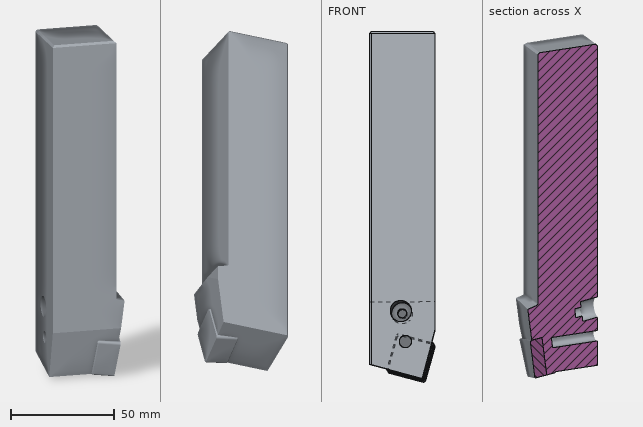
import cadquery as cq
import math

LENGTH = 170.0
SHANK = 32.0
EDGE_CHAMFER = 1.0

HEAD_DEPTH = 37.5
SHOULDER_ROOT_Z = 40.3
SHOULDER_ANGLE = 15.0
SHOULDER_FILLET = 1.0
HEAD_BREAK_Z = 31.6
LEFT_CORNER_Z = 8.7
RIGHT_CORNER_Z = 25.5

LEAD_ANGLE = 15.0
RAKE_ANGLE = 6.0
INSERT_SIDE = 19.0
INSERT_THICKNESS = 6.3
NOSE_RADIUS = 1.2
NOSE_X = 27.0
NOSE_Y = 32.3

SEAT_THICKNESS = 5.1
SEAT_CHAMFER = 0.5

SCREW_X = 15.3
SCREW_Z = 34.5
SCREW_BORE_DIAMETER = 10.2
SCREW_BORE_DEPTH = 8.5
SCREW_TIP_DIAMETER = 4.5
SCREW_TIP_DEPTH = 3.4

ACCESS_X = 17.5
ACCESS_Z = 19.7
ACCESS_DIAMETER = 6.0

LEAD = math.radians(LEAD_ANGLE)
RAKE_TAN = math.tan(math.radians(RAKE_ANGLE))

NOSE_Z = -NOSE_RADIUS * (math.sin(LEAD) + math.cos(LEAD) - 1)

ALONG_BOTTOM = cq.Vector(-math.cos(LEAD), RAKE_TAN, math.sin(LEAD))
ALONG_SIDE = cq.Vector(math.sin(LEAD), RAKE_TAN, math.cos(LEAD))
RAKE_NORMAL = ALONG_BOTTOM.cross(ALONG_SIDE).normalized()


def tilted_workplane(x, y, z):
    """Workplane parallel to the rake face; its local X runs along the insert's bottom edge."""
    return cq.Workplane(cq.Plane(origin=(x, y, z), xDir=ALONG_BOTTOM, normal=RAKE_NORMAL))


def nose_workplane(depth):
    """Workplane at the sharp nose corner, the given depth below the rake face."""
    return tilted_workplane(NOSE_X, NOSE_Y, NOSE_Z).workplane(offset=-depth)


def square_plate(depth, thickness):
    """Square plate with rounded corners, its top the given depth below the rake face."""
    return (
        nose_workplane(depth)
        .rect(INSERT_SIDE, INSERT_SIDE, centered=False)
        .extrude(-thickness)
        .edges(cq.selectors.ParallelDirSelector(RAKE_NORMAL))
        .fillet(NOSE_RADIUS)
    )


def bar():
    """Shank and head as one profile in YZ, with the top and one upright edge chamfered."""
    shoulder_drop = (HEAD_DEPTH - SHANK) * math.tan(math.radians(SHOULDER_ANGLE))
    return (
        cq.Workplane("YZ")
        .lineTo(HEAD_DEPTH, 0)
        .lineTo(HEAD_DEPTH, SHOULDER_ROOT_Z - shoulder_drop)
        .lineTo(SHANK, SHOULDER_ROOT_Z)
        .lineTo(SHANK, LENGTH)
        .lineTo(0, LENGTH)
        .close()
        .extrude(SHANK)
        .edges(cq.selectors.NearestToPointSelector((SHANK / 2, SHANK, SHOULDER_ROOT_Z)))
        .fillet(SHOULDER_FILLET)
        .faces(">Z")
        .chamfer(EDGE_CHAMFER)
        .edges(cq.selectors.NearestToPointSelector((0, 0, LENGTH / 2)))
        .chamfer(EDGE_CHAMFER)
    )


def nose_outline():
    """Prism along Y whose lower end comes to a square corner turned by the lead angle."""
    slope = math.tan(LEAD)
    right_side_x_at_zero = SHANK - slope * RIGHT_CORNER_Z
    corner_x = (right_side_x_at_zero + slope * LEFT_CORNER_Z) / (1 + slope**2)
    corner_z = LEFT_CORNER_Z - slope * corner_x
    return (
        cq.Workplane("XZ")
        .moveTo(0, LENGTH)
        .lineTo(0, LEFT_CORNER_Z)
        .lineTo(corner_x, corner_z)
        .lineTo(SHANK, RIGHT_CORNER_Z)
        .lineTo(SHANK, LENGTH)
        .close()
        .extrude(-HEAD_DEPTH)
    )


def head_relief():
    """Block behind the tilted back face of the head."""
    return (
        tilted_workplane(0, HEAD_DEPTH, HEAD_BREAK_Z)
        .rect(LENGTH, LENGTH)
        .extrude(HEAD_DEPTH)
    )


def screw_hole():
    """Tilted bore from the front face, with a smaller hole in its floor."""
    start = tilted_workplane(SCREW_X, 0, SCREW_Z)
    lead_in = SCREW_BORE_DIAMETER / 2
    bore = start.circle(SCREW_BORE_DIAMETER / 2).extrude(SCREW_BORE_DEPTH)
    rim = start.circle(SCREW_BORE_DIAMETER / 2).extrude(-lead_in)
    tip = start.circle(SCREW_TIP_DIAMETER / 2).extrude(SCREW_BORE_DEPTH + SCREW_TIP_DEPTH)
    return bore.union(rim).union(tip)


def access_hole():
    """Hole along Y from the front face, ending at the plane of the seat's underside."""
    beyond_seat = (
        nose_workplane(INSERT_THICKNESS + SEAT_THICKNESS)
        .rect(LENGTH, LENGTH)
        .extrude(HEAD_DEPTH)
    )
    return (
        cq.Workplane("XZ", origin=(ACCESS_X, 0, ACCESS_Z))
        .circle(ACCESS_DIAMETER / 2)
        .extrude(-HEAD_DEPTH)
        .cut(beyond_seat)
    )


def seat():
    """Pad under the insert, chamfered round its underside."""
    underside = cq.selectors.DirectionMinMaxSelector(RAKE_NORMAL, False)
    return square_plate(INSERT_THICKNESS, SEAT_THICKNESS).faces(underside).chamfer(SEAT_CHAMFER)


def make_insert():
    return square_plate(0, INSERT_THICKNESS)


def make_holder():
    return (
        bar()
        .intersect(nose_outline())
        .cut(head_relief())
        .union(seat())
        .cut(make_insert())
        .cut(screw_hole())
        .cut(access_hole())
    )


holder = make_holder().solids()
insert = make_insert()

result = cq.Compound.makeCompound([holder.val(), insert.val()])